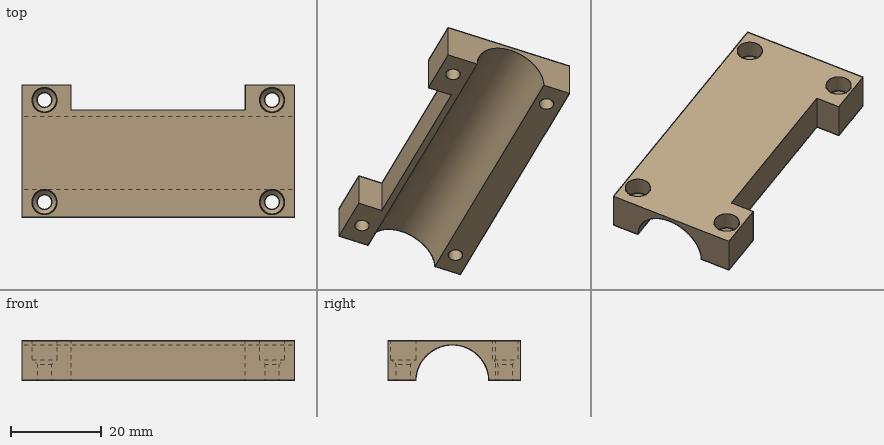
import cadquery as cq

length = 60.0
width = 29.15
height = 8.75

notch_length = 38.2
notch_depth = 5.5
notch_start = 10.85

channel_diameter = 16.0
channel_top = 7.8
channel_from_front = 14.15

hole_diameter = 3.2
head_diameter = 5.5
head_depth = 4.2
cone_diameter = 5.2
cone_depth = (cone_diameter - hole_diameter) / 2
hole_end_inset = 5.0
hole_side_inset = 3.35


def make_plate():
    return cq.Workplane("XY").box(length, width, height, centered=False)


def make_notch():
    notch = cq.Workplane("XY").box(notch_length, notch_depth, height, centered=False)
    return notch.translate((notch_start, width - notch_depth, 0))


def make_channel():
    radius = channel_diameter / 2
    axis_height = channel_top - radius
    return (
        cq.Workplane("YZ")
        .center(channel_from_front, axis_height)
        .circle(radius)
        .extrude(length)
    )


def make_screw_hole(x, y):
    """Through hole, cone and cylindrical head recess as one revolved cutter."""
    hole_radius = hole_diameter / 2
    head_radius = head_diameter / 2
    head_floor = height - head_depth
    profile = (
        cq.Workplane("XZ")
        .lineTo(hole_radius, 0)
        .lineTo(hole_radius, head_floor - cone_depth)
        .lineTo(cone_diameter / 2, head_floor)
        .lineTo(head_radius, head_floor)
        .lineTo(head_radius, height)
        .lineTo(0, height)
        .close()
    )
    return profile.revolve(360, (0, 0), (0, 1)).translate((x, y, 0))


result = make_plate().cut(make_notch()).cut(make_channel())
for hole_x in (hole_end_inset, length - hole_end_inset):
    for hole_y in (hole_side_inset, width - hole_side_inset):
        result = result.cut(make_screw_hole(hole_x, hole_y))